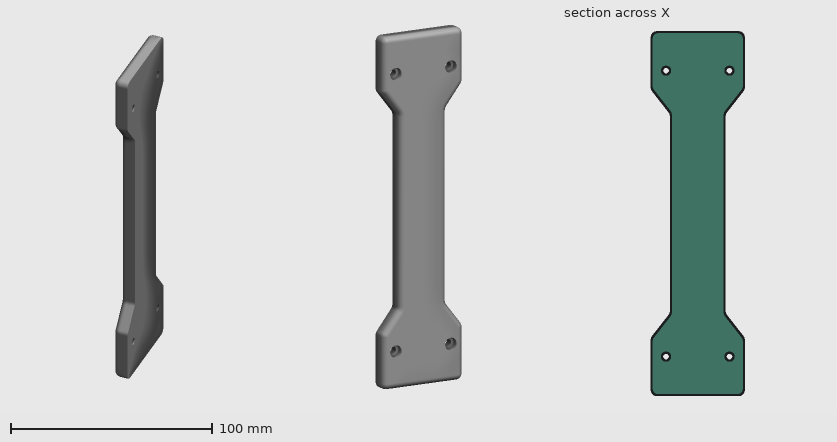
import cadquery as cq

thickness = 7.5
end_width = 46.0
length = 180.5

waist_width = 27.0
end_height = 28.3
shoulder_height = 12.15

corner_radius = 3.0
face_edge_radius = 3.0

hole_spacing_y = 31.5
hole_spacing_z = 142.0
hole_diameter = 3.7
counterbore_diameter = 6.5
counterbore_depth = 3.0

half_length = length / 2
half_end = end_width / 2
half_waist = waist_width / 2
shoulder_top = half_length - end_height
waist_top = shoulder_top - shoulder_height


def plate_blank():
    """Flat dog-bone plate with its back face at X = 0, sharp all round."""
    right_side = [
        (half_end, half_length),
        (half_end, shoulder_top),
        (half_waist, waist_top),
        (half_waist, -waist_top),
        (half_end, -shoulder_top),
        (half_end, -half_length),
    ]
    left_side = [(-y, z) for y, z in reversed(right_side)]
    return cq.Workplane("YZ").polyline(right_side + left_side).close().extrude(-thickness)


def round_edges(plate):
    """Round the twelve outline corners, then the whole rim of the -X face."""
    plate = plate.edges("|X").fillet(corner_radius)
    return plate.faces("<X").edges().fillet(face_edge_radius)


def cut_screw_holes(plate):
    """Four through holes, counterbored from the -X face."""
    return (
        plate.faces("<X")
        .workplane(origin=(0, 0, 0))
        .rarray(hole_spacing_y, hole_spacing_z, 2, 2)
        .cboreHole(hole_diameter, counterbore_diameter, counterbore_depth)
    )


result = cut_screw_holes(round_edges(plate_blank()))